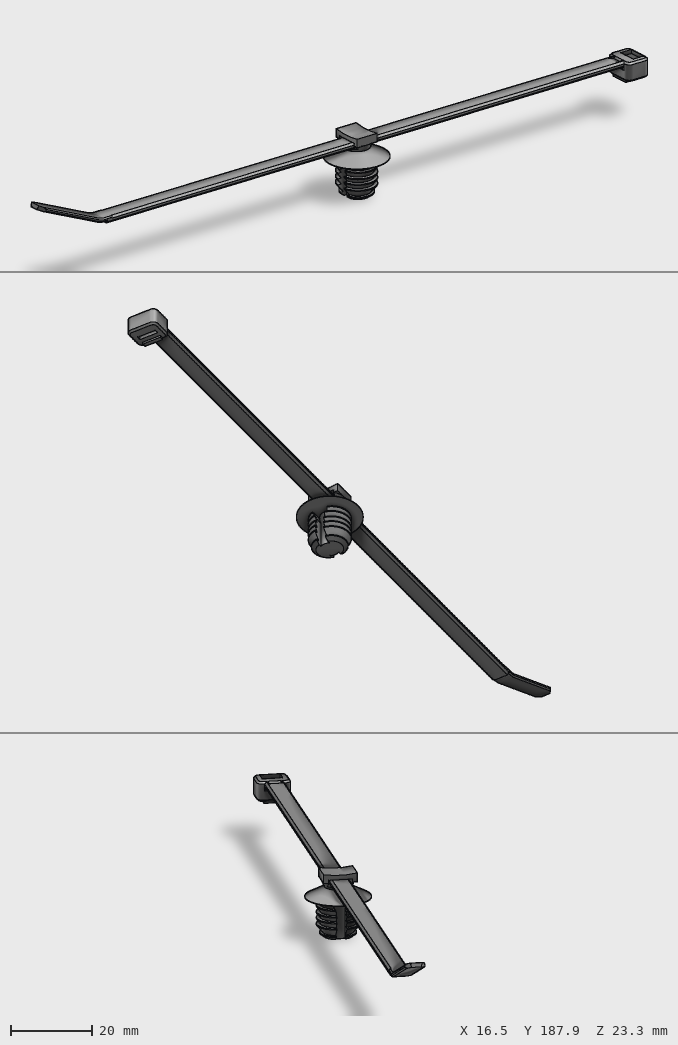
import cadquery as cq
import math


OVERALL_LENGTH = 187.94
OVERALL_HEIGHT = 23.3

STRAP_WIDTH = 5.0
STRAP_THICKNESS = 1.7
STRAP_BOTTOM = 3.4
STRAP_TOP = STRAP_BOTTOM + STRAP_THICKNESS
STRAP_CHAMFER = 0.55
STRAP_END_Y = -79.2

TAIL_TIP_Y = -100.16
TAIL_ANGLE = math.radians(23.2)
TAIL_THICKNESS = 1.1
TAIL_CHAMFER = 0.35
TAIL_CORNER_WIDTH = 1.3
TAIL_CORNER_LENGTH = 1.9
BEND_START_Y = -80.3
BEND_END_Y = -81.4
BEND_END_Z = STRAP_TOP + (BEND_START_Y - BEND_END_Y) * math.tan(TAIL_ANGLE / 2)
TAIL_TIP_TOP_Y = TAIL_TIP_Y + TAIL_THICKNESS * math.sin(TAIL_ANGLE)
TAIL_TIP_Z = BEND_END_Z + (BEND_END_Y - TAIL_TIP_TOP_Y) * math.tan(TAIL_ANGLE)

HEAD_END_Y = TAIL_TIP_Y + OVERALL_LENGTH
HEAD_LENGTH = 6.8
HEAD_WIDTH = 8.5
HEAD_FRONT_Y = HEAD_END_Y - HEAD_LENGTH
HEAD_HEIGHT = 5.1
HEAD_BOTTOM = STRAP_TOP - HEAD_HEIGHT
HEAD_CORNER_RADIUS = 1.5
HEAD_CHAMFER = 0.5
HEAD_GUSSET = 0.6
NOTCH_WIDTH = 3.2
NOTCH_LENGTH = 1.7
NOTCH_DEPTH = 0.5
SLOT_WIDTH = 5.1
SLOT_NEAR_Y = HEAD_FRONT_Y + 2.9
SLOT_LENGTH = 1.1
SLOT_FAR_Y = SLOT_NEAR_Y + SLOT_LENGTH
RECESS_END_Y = HEAD_END_Y - 0.6
RECESS_DEPTH = 1.1
LUG_NEAR_Y = HEAD_FRONT_Y + 0.55
LUG_LENGTH = 1.1
LUG_DROP = 0.57

DISC_RADIUS = 16.5 / 2
DISC_RIM = 0.15
DISC_TOP_RADIUS = 3.4
DISC_TOP = 2.7
SADDLE_WIDTH = 8.5
SADDLE_LENGTH = 6.2
SADDLE_BOTTOM = 4.5
SADDLE_TOP = 6.8
SADDLE_DISH_RADIUS = 24.0
WINDOW_WIDTH = 6.0
WINDOW_CLEARANCE = 0.2

CORE_DIAMETER = 5.0
PLUG_LENGTH = OVERALL_HEIGHT - TAIL_TIP_Z
ARM_OFFSET = 0.5
BARB_DEPTHS = [0.5, 2.0, 3.7, 5.2, 6.8]
BARB_RADIUS = 4.9
BARB_ROOT_RADIUS = 3.9
END_BARB_DEPTH = 9.0
END_BARB_RADIUS = 4.1
END_BARB_ROOT_RADIUS = 3.3
PLUG_END_RADIUS = 3.0
BARB_EDGE = 0.3
GAP_WIDTH = 2.5
GAP_TOP_WIDTH = 4.8
GAP_TAPER_DEPTH = 2.8


def box(x_size, y_min, y_max, z_min, z_max):
    """A block centred on X = 0."""
    block = cq.Workplane("XY").box(x_size, y_max - y_min, z_max - z_min, centered=(True, False, False))
    return block.translate((0, y_min, z_min))


def side_prism(points, width):
    """A (Y, Z) outline extruded along X, centred on X = 0."""
    return cq.Workplane("YZ").polyline(points).close().extrude(width / 2, both=True)


def make_strap():
    strap = box(STRAP_WIDTH, STRAP_END_Y, HEAD_FRONT_Y + HEAD_CORNER_RADIUS, STRAP_BOTTOM, STRAP_TOP)
    return strap.edges("|Y").chamfer(STRAP_CHAMFER)


def below(point, slope_angle):
    """The point on the tail's underside, square below a point of its top."""
    y, z = point
    return (y - TAIL_THICKNESS * math.sin(slope_angle), z - TAIL_THICKNESS * math.cos(slope_angle))


def make_tail():
    """Thin strip rising from the strap's end, with its tip corners cut off."""
    root_top = (STRAP_END_Y + STRAP_THICKNESS, STRAP_TOP)
    bend_start = (BEND_START_Y, STRAP_TOP)
    bend_end = (BEND_END_Y, BEND_END_Z)
    tip_top = (TAIL_TIP_TOP_Y, TAIL_TIP_Z)
    outline = [
        root_top,
        bend_start,
        bend_end,
        tip_top,
        below(tip_top, TAIL_ANGLE),
        below(bend_end, TAIL_ANGLE * 3 / 4),
        below(bend_start, TAIL_ANGLE / 4),
        below(root_top, 0),
    ]
    tail = side_prism(outline, STRAP_WIDTH).faces("<X or >X").chamfer(TAIL_CHAMFER)

    half_width = STRAP_WIDTH / 2
    tip_half_width = half_width - TAIL_CORNER_WIDTH
    corner_y = TAIL_TIP_Y + TAIL_CORNER_LENGTH
    plan = [
        (half_width, STRAP_END_Y + STRAP_THICKNESS),
        (half_width, corner_y),
        (tip_half_width, TAIL_TIP_Y),
        (-tip_half_width, TAIL_TIP_Y),
        (-half_width, corner_y),
        (-half_width, STRAP_END_Y + STRAP_THICKNESS),
    ]
    return tail.intersect(cq.Workplane("XY").polyline(plan).close().extrude(TAIL_TIP_Z))


def make_head():
    head = box(HEAD_WIDTH, HEAD_FRONT_Y, HEAD_END_Y, HEAD_BOTTOM, STRAP_TOP)
    head = head.edges("|Z").fillet(HEAD_CORNER_RADIUS)
    head = head.faces("<Z or >Z").chamfer(HEAD_CHAMFER)

    gusset = side_prism(
        [
            (HEAD_FRONT_Y, STRAP_BOTTOM - HEAD_GUSSET),
            (HEAD_FRONT_Y - HEAD_GUSSET, STRAP_BOTTOM),
            (HEAD_FRONT_Y, STRAP_BOTTOM + HEAD_GUSSET),
        ],
        STRAP_WIDTH,
    )
    lug = box(SLOT_WIDTH, LUG_NEAR_Y, LUG_NEAR_Y + LUG_LENGTH, HEAD_BOTTOM - LUG_DROP, HEAD_BOTTOM)
    return head.union(gusset).union(lug)


def make_head_slot():
    """Slot through the head with a flat-bottomed recess on its +Y side."""
    slot = box(SLOT_WIDTH, SLOT_NEAR_Y, SLOT_FAR_Y, HEAD_BOTTOM, STRAP_TOP)
    recess = box(SLOT_WIDTH, SLOT_FAR_Y, RECESS_END_Y, STRAP_TOP - RECESS_DEPTH, STRAP_TOP)
    return slot.union(recess)


def make_head_notch():
    """V-shaped dip in the middle of the strap's top, where it meets the head."""
    points = [
        (HEAD_FRONT_Y + HEAD_CHAMFER, STRAP_TOP),
        (HEAD_FRONT_Y, STRAP_TOP - NOTCH_DEPTH),
        (HEAD_FRONT_Y - NOTCH_LENGTH, STRAP_TOP),
    ]
    return side_prism(points, NOTCH_WIDTH)


def make_cable_tie():
    tie = make_head().union(make_strap()).union(make_tail())
    return tie.cut(make_head_slot()).cut(make_head_notch())


def make_disc():
    outline = [
        (0, 0),
        (DISC_RADIUS, 0),
        (DISC_RADIUS, DISC_RIM),
        (DISC_TOP_RADIUS, DISC_TOP),
        (0, DISC_TOP),
    ]
    return cq.Workplane("XZ").polyline(outline).close().revolve(360, (0, 0, 0), (0, 1, 0))


def make_saddle():
    """Block on a flaring neck, with a window for the strap."""
    half_length = SADDLE_LENGTH / 2
    block = box(SADDLE_WIDTH, -half_length, half_length, SADDLE_BOTTOM, SADDLE_TOP)
    dish_z = SADDLE_TOP + math.sqrt(SADDLE_DISH_RADIUS**2 - (SADDLE_WIDTH / 2) ** 2)
    dish = cq.Workplane("XZ").center(0, dish_z).circle(SADDLE_DISH_RADIUS).extrude(half_length, both=True)
    block = block.cut(dish)

    neck_outline = [
        (0, DISC_TOP),
        (DISC_TOP_RADIUS, DISC_TOP),
        (SADDLE_WIDTH / 2, SADDLE_BOTTOM),
        (0, SADDLE_BOTTOM),
    ]
    neck = cq.Workplane("XZ").polyline(neck_outline).close().revolve(360, (0, 0, 0), (0, 1, 0))
    neck = neck.intersect(box(SADDLE_WIDTH, -half_length, half_length, DISC_TOP, SADDLE_BOTTOM))
    window_top = STRAP_TOP + WINDOW_CLEARANCE
    window = box(WINDOW_WIDTH, -half_length, half_length, STRAP_BOTTOM, window_top)
    return block.union(neck).cut(window)


def make_arm():
    """Barbed arm on the +X side: each barb is flat above and tapers to its root below."""
    barbs = [(depth, BARB_ROOT_RADIUS, BARB_RADIUS) for depth in BARB_DEPTHS]
    barbs.append((END_BARB_DEPTH, END_BARB_ROOT_RADIUS, END_BARB_RADIUS))
    outline = [(0, 0), (BARB_ROOT_RADIUS, 0)]
    for depth, root_radius, tip_radius in barbs:
        outline.append((root_radius, -depth))
        outline.append((tip_radius, -depth))
        outline.append((tip_radius, -depth - BARB_EDGE))
    outline.append((PLUG_END_RADIUS, -PLUG_LENGTH))
    outline.append((0, -PLUG_LENGTH))
    arm = cq.Workplane("XZ").polyline(outline).close().revolve(360, (0, 0, 0), (0, 1, 0))
    arm = arm.translate((ARM_OFFSET, 0, 0))

    arm_side = [
        (GAP_TOP_WIDTH / 2, 0),
        (GAP_WIDTH / 2, -GAP_TAPER_DEPTH),
        (GAP_WIDTH / 2, -PLUG_LENGTH),
        (DISC_RADIUS, -PLUG_LENGTH),
        (DISC_RADIUS, 0),
    ]
    keep = cq.Workplane("XZ").polyline(arm_side).close().extrude(DISC_RADIUS, both=True)
    return arm.intersect(keep)


def make_mount():
    core = cq.Workplane("XY").circle(CORE_DIAMETER / 2).extrude(-PLUG_LENGTH)
    mount = make_disc().union(make_saddle()).union(core)
    arm = make_arm()
    for turn in (0, 180):
        mount = mount.union(arm.rotate((0, 0, 0), (0, 0, 1), turn))
    return mount


cable_tie = make_cable_tie()
mount = make_mount()
result = cq.Compound.makeCompound([cable_tie.val(), mount.val()])